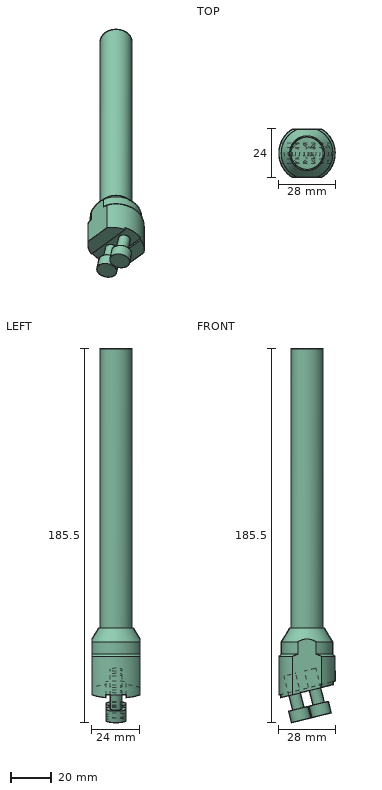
import cadquery as cq
import math


total_length = 185.5
rod_diameter = 16.0
cone_top_diameter = 17.2
collar_diameter = 25.6
body_diameter = 28.0
across_flats = 24.0
cone_top = 31.3
cone_height = 6.9
collar_height = 6.1
body_chamfer = (body_diameter - collar_diameter) / 2
collar_top = cone_top - cone_height
collar_bottom = collar_top - collar_height
body_top = collar_bottom - body_chamfer

slant_angle = 14
slot_width = 10.0
slot_depth = 1.5

shank_diameter = 6.0
head_diameter = 10.0
head_height = 6.0
head_clearance = 7.5
shank_embedment = 10.0
screw_pitch = 10.4
screw_row_offset = -1.1
screw_places = [screw_row_offset + side * screw_pitch / 2 for side in (-1, 1)]

slant = math.radians(slant_angle)
slant_direction = (math.cos(slant), 0, math.sin(slant))
outward = (math.sin(slant), 0, -math.cos(slant))
bottom_face = cq.Plane(origin=(0, 0, 0), xDir=slant_direction, normal=outward)

head_end = head_clearance + head_height
low_edge = min(screw_places) - head_diameter / 2
assembly_bottom = low_edge * math.sin(slant) - head_end * math.cos(slant)
rod_top = assembly_bottom + total_length

blank_bottom = -body_diameter / 2


def turned_blank():
    """Rod, cone, collar and chamfered body revolved about Z."""
    profile = [
        (0, blank_bottom),
        (body_diameter / 2, blank_bottom),
        (body_diameter / 2, body_top),
        (collar_diameter / 2, collar_bottom),
        (collar_diameter / 2, collar_top),
        (cone_top_diameter / 2, cone_top),
        (rod_diameter / 2, cone_top),
        (rod_diameter / 2, rod_top),
        (0, rod_top),
    ]
    return cq.Workplane("YZ").polyline(profile).close().revolve(360, (0, 0), (0, 1))


def flats_envelope():
    """Block whose two Y faces trim the flats."""
    start = cq.Workplane("XY").workplane(offset=blank_bottom)
    return start.rect(2 * body_diameter, across_flats).extrude(rod_top - blank_bottom)


def below_slant():
    """Everything under the slanted bottom face."""
    return cq.Workplane(bottom_face).rect(2 * body_diameter, 2 * body_diameter).extrude(body_diameter)


def slot():
    """Shallow channel running the length of the slanted face."""
    return cq.Workplane(bottom_face).rect(2 * body_diameter, slot_width).extrude(-slot_depth)


def screw_hole(place):
    """Blind hole that the buried part of a shank fills."""
    return cq.Workplane(bottom_face).center(place, 0).circle(shank_diameter / 2).extrude(-shank_embedment)


def make_holder():
    """One-piece rod and body with flats, slanted bottom, slot and screw holes."""
    holder = turned_blank().intersect(flats_envelope()).cut(below_slant()).cut(slot())
    for place in screw_places:
        holder = holder.cut(screw_hole(place))
    return holder


def make_screw(place):
    """Cylindrical-head screw with its shank in the holder."""
    buried_end = cq.Workplane(bottom_face).workplane(offset=-shank_embedment).center(place, 0)
    shank = buried_end.circle(shank_diameter / 2).extrude(shank_embedment + head_clearance)
    head_underside = cq.Workplane(bottom_face).workplane(offset=head_clearance).center(place, 0)
    head = head_underside.circle(head_diameter / 2).extrude(head_height)
    return shank.union(head)


holder = make_holder()
screws = [make_screw(place) for place in screw_places]

result = cq.Compound.makeCompound([holder.val(), *[screw.val() for screw in screws]])